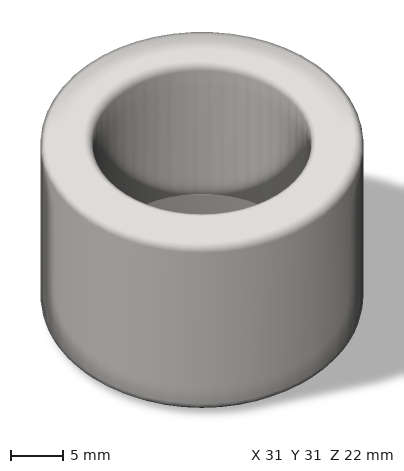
import cadquery as cq

outer_diameter = 31.0
height = 22.0
edge_round = 1.0
bottom_chamfer = 1.0

bore_diameter = 21.0
floor_diameter = 17.0
floor_thickness = 3.0
cone_height = (bore_diameter - floor_diameter) / 2


def make_body():
    """Cylinder with a rounded top rim and a chamfered, blended bottom rim."""
    body = cq.Workplane("XY").circle(outer_diameter / 2).extrude(height)
    body = body.faces(">Z").edges().fillet(edge_round)
    body = body.faces("<Z").edges().chamfer(bottom_chamfer)
    chamfer_top = cq.selectors.BoxSelector(
        (-outer_diameter, -outer_diameter, bottom_chamfer / 2),
        (outer_diameter, outer_diameter, bottom_chamfer * 3 / 2),
    )
    return body.edges("%CIRCLE").edges(chamfer_top).fillet(edge_round)


def make_bore():
    """Revolved cavity: flat floor, conical transition and straight wall."""
    bore_radius = bore_diameter / 2
    return (
        cq.Workplane("XZ")
        .moveTo(0, floor_thickness)
        .lineTo(floor_diameter / 2, floor_thickness)
        .lineTo(bore_radius, floor_thickness + cone_height)
        .lineTo(bore_radius, height)
        .lineTo(0, height)
        .close()
        .revolve(360, (0, 0, 0), (0, 1, 0))
    )


bored_body = make_body().cut(make_bore())
result = bored_body.faces(">Z").edges(cq.selectors.RadiusNthSelector(0)).fillet(edge_round)